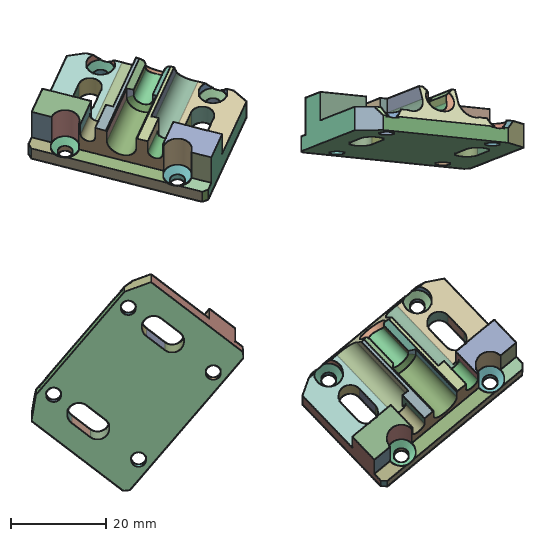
import cadquery as cq

length = 40
depth = 28.8
height = 11.15

flange_height = 3.2
flange_depth = 3.0
slope_top_y = 24.8
front_corner = 1.0
back_corner_x = 5.2
back_corner_y = 3.0

shelf_height = 5.05
shelf_start_y = 10

axis_height = 8.15
channel_spacing = 15.0
channel_x = channel_spacing / 2
wide_diameter = 6.5
wide_radius = wide_diameter / 2
side_slot_radius = 1.65
neck_radius = 2.1
wide_end_y = 16
countersink_height = 8.5
relief_start_y = 9.0
neck_mouth_half_width = 3.5

hole_spacing_x = 25.0
hole_spacing_y = 23.0
hole_x = hole_spacing_x / 2
hole_edge_distance = (depth - hole_spacing_y) / 2
hole_radius = 1.6
head_radius = 3.05
head_seat_height = 3.0
long_slot_width = 5.0
long_slot_length = 10
long_slot_y = 16.5


def channel(x, radius, start_y, end_y):
    """Round-bottomed channel cutter that is open at the top."""
    return (
        cq.Workplane("XZ", origin=(x, start_y, axis_height))
        .moveTo(-radius, height)
        .lineTo(-radius, 0)
        .threePointArc((0, -radius), (radius, 0))
        .lineTo(radius, height)
        .close()
        .extrude(start_y - end_y)
    )


def side_slot_relief(x):
    """Short end of a side slot, deepened to the floor of the wide channel."""
    relief_length = shelf_start_y - relief_start_y
    slot_column = (
        cq.Workplane("XY", origin=(x, relief_start_y + relief_length / 2, 0))
        .rect(2 * side_slot_radius, relief_length)
        .extrude(height)
    )
    return channel(x, wide_radius, relief_start_y, shelf_start_y).intersect(slot_column)


def body():
    """Sloped and stepped side profile, with the plan corners cut off."""
    profile = (
        cq.Workplane("YZ", origin=(-length / 2, 0, 0))
        .polyline([
            (0, 0),
            (depth, 0),
            (depth, flange_height),
            (slope_top_y, height),
            (flange_depth, height),
            (flange_depth, flange_height),
            (0, flange_height),
        ])
        .close()
        .extrude(length)
    )
    half = length / 2
    plan = (
        cq.Workplane("XY")
        .polyline([
            (-half + front_corner, 0),
            (half - front_corner, 0),
            (half, front_corner),
            (half, depth - back_corner_y),
            (half - back_corner_x, depth),
            (-half + back_corner_x, depth),
            (-half, depth - back_corner_y),
            (-half, front_corner),
        ])
        .close()
        .extrude(height)
    )
    return profile.intersect(plan)


def shelf_cut(side):
    """Clearance above a side shelf, on the side given by -1 or 1."""
    width = length / 2 - channel_x
    return cq.Workplane("XY").box(width, depth, height, centered=(True, False, False)).translate(
        (side * (channel_x + width / 2), shelf_start_y, shelf_height)
    )


def screw_hole(x, y):
    """Through hole with a conical seat and a clearance bore for the head."""
    cone_depth = head_radius - hole_radius
    return (
        cq.Workplane("XZ", origin=(x, y, 0))
        .polyline([
            (0, 0),
            (hole_radius, 0),
            (hole_radius, head_seat_height - cone_depth),
            (head_radius, head_seat_height),
            (head_radius, height),
            (0, height),
        ])
        .close()
        .revolve(360, (0, 0, 0), (0, 1, 0))
    )


def neck_taper():
    """Conical step from the wide centre channel down to its neck."""
    taper_length = wide_radius - neck_radius
    cone = cq.Solid.makeCone(
        wide_radius, neck_radius, taper_length,
        cq.Vector(0, wide_end_y, axis_height), cq.Vector(0, 1, 0),
    )
    upper = (
        cq.Workplane("XY", origin=(0, wide_end_y, axis_height))
        .polyline([
            (-wide_radius, 0),
            (wide_radius, 0),
            (neck_radius, taper_length),
            (-neck_radius, taper_length),
        ])
        .close()
        .extrude(height)
    )
    return upper.union(cq.Workplane(cone))


def neck_mouth():
    """45 degree V that widens the top of the centre channel."""
    return (
        cq.Workplane("XZ")
        .polyline([
            (-neck_mouth_half_width, height),
            (neck_mouth_half_width, height),
            (0, height - neck_mouth_half_width),
        ])
        .close()
        .extrude(-depth)
    )


def back_countersink():
    """45 degree countersink of the neck, square to the sloped back face."""
    slope_run = depth - slope_top_y
    slope_rise = height - flange_height
    center_y = depth - slope_run * (countersink_height - flange_height) / slope_rise
    inward = cq.Vector(0, -slope_rise, -slope_run)
    cone = cq.Solid.makeCone(
        wide_radius, 0, wide_radius, cq.Vector(0, center_y, countersink_height), inward
    )
    return cq.Workplane(cone)


result = body()
for side in (-1, 1):
    result = result.cut(shelf_cut(side))
    result = result.cut(channel(side * channel_x, side_slot_radius, 0, shelf_start_y))
    result = result.cut(side_slot_relief(side * channel_x))
    result = result.cut(channel(side * channel_x, wide_radius, shelf_start_y, depth))
    for hole_y in (hole_edge_distance, depth - hole_edge_distance):
        result = result.cut(screw_hole(side * hole_x, hole_y))
    long_slot = (
        cq.Workplane("XY", origin=(side * hole_x, long_slot_y, 0))
        .slot2D(long_slot_length, long_slot_width, 90)
        .extrude(height)
    )
    result = result.cut(long_slot)

result = result.cut(channel(0, wide_radius, 0, wide_end_y))
result = result.cut(channel(0, neck_radius, wide_end_y, depth))
result = result.cut(neck_taper())
result = result.cut(neck_mouth())
result = result.cut(back_countersink())